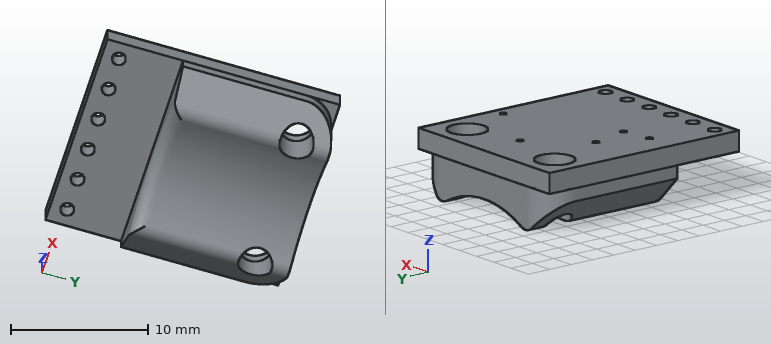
import cadquery as cq
import math

BOARD_WIDTH = 15.24
BOARD_LENGTH = 17.78
BOARD_THICKNESS = 1.6
BACK_Y = BOARD_LENGTH / 2

PIN_COUNT = 6
PIN_PITCH = BOARD_WIDTH / PIN_COUNT
PIN_HOLE_DIAMETER = 1.0
PIN_ROW_Y = -BACK_Y + PIN_PITCH / 2

SCREW_X = BOARD_WIDTH / 2 - PIN_PITCH
SCREW_Y = BACK_Y - PIN_PITCH
SCREW_POINTS = [(-SCREW_X, SCREW_Y), (SCREW_X, SCREW_Y)]
BOARD_SCREW_DIAMETER = 3.04
MOUNT_SCREW_DIAMETER = 2.5

VIA_DIAMETER = 0.5
VIA_POINTS = [(0.37, 5.2), (6.63, 1.75), (-3.43, 1.15), (-2.55, -2.15), (-5.09, -2.52)]

MOUNT_LENGTH = 12.0
MOUNT_FRONT_Y = BACK_Y - MOUNT_LENGTH
SIDE_HEIGHT = 1.0
BACK_CORNER_RADIUS = PIN_PITCH
GROOVE_RADIUS = 9.0
GROOVE_APEX_DEPTH = 2.1
GROOVE_AXIS_Z = -GROOVE_APEX_DEPTH - GROOVE_RADIUS
EDGE_RADIUS = 1.0
BLANK_DEPTH = 5.33


def make_board():
    """Flat board with its pin, screw and via holes, all passing through."""
    board = cq.Workplane("XY").box(
        BOARD_WIDTH, BOARD_LENGTH, BOARD_THICKNESS, centered=(True, True, False)
    )
    first_pin_x = -PIN_PITCH * (PIN_COUNT - 1) / 2
    pin_points = [(first_pin_x + i * PIN_PITCH, PIN_ROW_Y) for i in range(PIN_COUNT)]
    board = board.faces(">Z").workplane().pushPoints(pin_points).hole(PIN_HOLE_DIAMETER)
    board = board.faces(">Z").workplane().pushPoints(SCREW_POINTS).hole(BOARD_SCREW_DIAMETER)
    return board.faces(">Z").workplane().pushPoints(VIA_POINTS).hole(VIA_DIAMETER)


def make_mount_blank():
    """Block with 45 degree lower sides, hollowed from below by a cylindrical groove along Y."""
    half_width = BOARD_WIDTH / 2
    bottom_half_width = half_width - (BLANK_DEPTH - SIDE_HEIGHT)
    outline = [
        (-half_width, 0),
        (half_width, 0),
        (half_width, -SIDE_HEIGHT),
        (bottom_half_width, -BLANK_DEPTH),
        (-bottom_half_width, -BLANK_DEPTH),
        (-half_width, -SIDE_HEIGHT),
    ]
    back_plane = cq.Workplane("XZ", origin=(0, BACK_Y, 0))
    blank = back_plane.polyline(outline).close().extrude(MOUNT_LENGTH)
    groove = back_plane.center(0, GROOVE_AXIS_Z).circle(GROOVE_RADIUS).extrude(MOUNT_LENGTH)
    return blank.cut(groove)


def make_groove_flare():
    """Cutter that rounds the front rim of the groove, revolved about the groove axis."""
    arc_offset = EDGE_RADIUS * (1 - math.sqrt(0.5))
    profile = (
        cq.Workplane("XY", origin=(0, MOUNT_FRONT_Y, GROOVE_AXIS_Z))
        .lineTo(GROOVE_RADIUS + EDGE_RADIUS, 0)
        .threePointArc((GROOVE_RADIUS + arc_offset, arc_offset), (GROOVE_RADIUS, EDGE_RADIUS))
        .lineTo(0, EDGE_RADIUS)
        .close()
    )
    return profile.revolve(360, (0, 0), (0, 1))


def make_mount():
    """Mount with rounded groove edges, rounded back corners and two screw holes."""
    mount = make_mount_blank()
    mount = mount.edges("|Y").edges("<Z").fillet(EDGE_RADIUS)
    mount = mount.cut(make_groove_flare())
    corner_blank = (
        cq.Workplane("XY")
        .box(BOARD_WIDTH, MOUNT_LENGTH, BLANK_DEPTH, centered=(True, False, False))
        .translate((0, MOUNT_FRONT_Y, -BLANK_DEPTH))
        .edges("|Z and >Y")
        .fillet(BACK_CORNER_RADIUS)
    )
    mount = mount.intersect(corner_blank)
    screws = (
        cq.Workplane("XY").pushPoints(SCREW_POINTS).circle(MOUNT_SCREW_DIAMETER / 2).extrude(-BLANK_DEPTH)
    )
    return mount.cut(screws)


board = make_board()
mount = make_mount()
result = cq.Compound.makeCompound([board.val(), mount.val()])